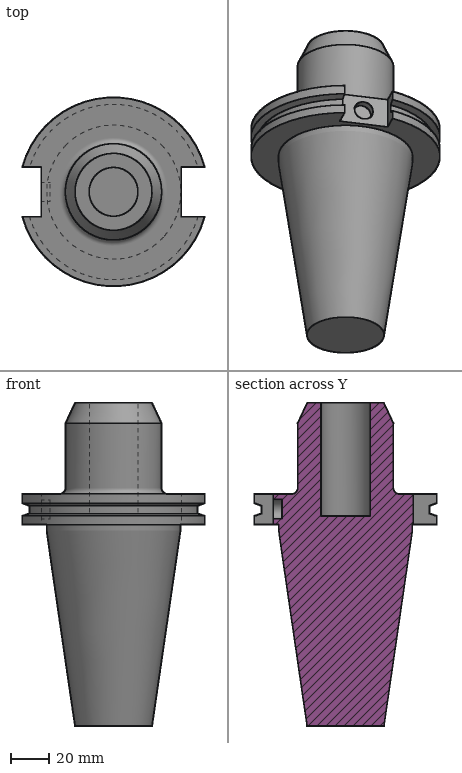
import cadquery as cq
import math

total_height = 168.2
taper_height = 101.5
collar_height = 3.2
flange_thickness = 16.0
flange_bottom = taper_height + collar_height
flange_top = flange_bottom + flange_thickness
flange_middle = (flange_bottom + flange_top) / 2

taper_end_radius = 40.2 / 2
gauge_radius = 69.8 / 2
flange_radius = 98.4 / 2
nose_radius = 50.1 / 2
tip_radius = 40.0 / 2

tip_cone_height = 10.8
nose_fillet = 3.0
bore_diameter = 25.4
bore_depth = 58.9

upper_rim_height = 4.9
lower_rim_height = 4.5
groove_depth = 3.5
groove_floor_top = flange_top - 6.2
groove_floor_bottom = flange_top - 10.3

slot_width = 25.7
right_slot_floor_x = 35.3
left_slot_floor_x = -37.7
slot_hole_diameter = 10.0
slot_hole_depth = 4.5


def turned_body():
    """Revolve the taper, grooved flange and conical nose about Z."""
    groove_radius = flange_radius - groove_depth
    fillet_center_radius = nose_radius + nose_fillet
    fillet_top = flange_top + nose_fillet
    profile = (
        cq.Workplane("XZ")
        .lineTo(taper_end_radius, 0)
        .lineTo(gauge_radius, taper_height)
        .lineTo(gauge_radius, flange_bottom)
        .lineTo(flange_radius, flange_bottom)
        .lineTo(flange_radius, flange_bottom + lower_rim_height)
        .lineTo(groove_radius, groove_floor_bottom)
        .lineTo(groove_radius, groove_floor_top)
        .lineTo(flange_radius, flange_top - upper_rim_height)
        .lineTo(flange_radius, flange_top)
        .lineTo(fillet_center_radius, flange_top)
        .radiusArc((nose_radius, fillet_top), nose_fillet)
        .lineTo(nose_radius, total_height - tip_cone_height)
        .lineTo(tip_radius, total_height)
        .lineTo(0, total_height)
        .close()
    )
    return profile.revolve(360, (0, 0), (0, 1))


def bore():
    """Blind tool bore, open at the top of the nose."""
    return (
        cq.Workplane("XY", origin=(0, 0, total_height))
        .circle(bore_diameter / 2)
        .extrude(-bore_depth)
    )


def drive_slot(floor_x):
    """Flat-bottomed slot cut inward from the flange rim."""
    outward = math.copysign(1, floor_x)
    slot_depth = flange_radius - abs(floor_x)
    floor = cq.Workplane("YZ", origin=(floor_x, 0, flange_middle))
    return floor.rect(slot_width, flange_thickness).extrude(outward * slot_depth)


def slot_hole():
    """Blind round hole in the floor of the -X slot."""
    floor = cq.Workplane("YZ", origin=(left_slot_floor_x, 0, flange_middle))
    return floor.circle(slot_hole_diameter / 2).extrude(slot_hole_depth)


result = turned_body().cut(bore())
for floor_x in (left_slot_floor_x, right_slot_floor_x):
    result = result.cut(drive_slot(floor_x))
result = result.cut(slot_hole())